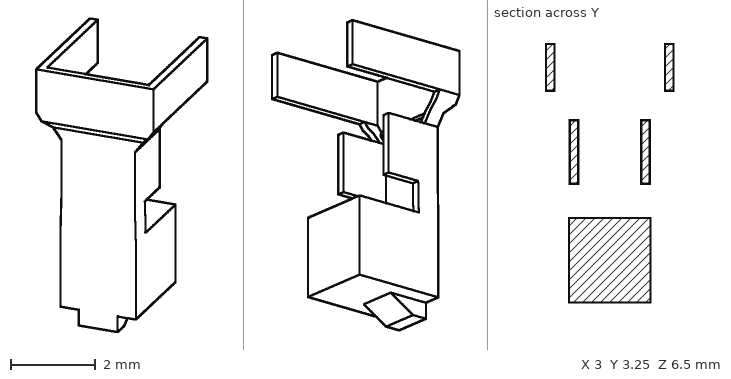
import cadquery as cq

sheet = 0.2
height = 6.5
depth = 3.25
head_width = 3.0
plate_front = sheet
plate_back = plate_front + sheet

arm_bottom = 5.39
jog_top = 5.19
jog_bottom = jog_top - sheet
flare_bottom = 4.7
wing_bottom = 3.2
box_top = 2.4
box_bottom = 0.4

jog_top_width = 2.73
jog_bottom_width = 2.315
neck_width = 1.885
box_width = 1.93
tail_width = 1.0
flare_back = 0.6
wing_back = 1.695
link_back = 0.8
box_back = 2.6
tail_base_back = 1.275
tail_tip_back = flare_back


def block(width, front, back, bottom, top):
    """Box centred on X between two Y planes and two Z planes."""
    size = (width, back - front, top - bottom)
    return cq.Workplane("XY").box(*size, centered=(True, False, False)).translate((0, front, bottom))


def symmetric_slab(side, front, back):
    """Extrude along Y the outline whose +X side is a list of (x, z) points."""
    mirrored = [(-x, z) for x, z in reversed(side)]
    slab = cq.Workplane("XZ").polyline(side + mirrored).close().extrude(front - back)
    return slab.translate((0, front, 0))


def side_profile(points, width):
    """Extrude a (y, z) outline across the given width, centred on X."""
    return cq.Workplane("YZ").polyline(points).close().extrude(width / 2, both=True)


head = block(head_width, 0, depth, arm_bottom, height).cut(
    block(head_width - 2 * sheet, sheet, depth, arm_bottom, height)
)

flare_side = [
    (head_width / 2, arm_bottom),
    (jog_top_width / 2, jog_top),
    (jog_bottom_width / 2, jog_bottom),
    (neck_width / 2, flare_bottom),
]
flare_inner_side = [(x - sheet, z) for x, z in flare_side]

jogged_sheet = side_profile(
    [
        (0, arm_bottom),
        (0, jog_top),
        (plate_front, jog_bottom),
        (plate_front, flare_bottom),
        (plate_back, flare_bottom),
        (plate_back, jog_bottom),
        (sheet, jog_top),
        (sheet, arm_bottom),
    ],
    head_width,
)
flare_envelope = symmetric_slab(flare_side, 0, flare_back)
flare_cavity = symmetric_slab(flare_inner_side, 0, flare_back)
flange_envelope = side_profile(
    [
        (0, arm_bottom),
        (0, jog_top),
        (plate_front, jog_bottom),
        (plate_front, flare_bottom),
        (flare_back, flare_bottom),
        (flare_back, arm_bottom),
    ],
    head_width,
)
flare_flanges = flare_envelope.intersect(flange_envelope).cut(flare_cavity)
flare = jogged_sheet.intersect(flare_envelope).union(flare_flanges)

wings = block(neck_width, plate_front, wing_back, wing_bottom, flare_bottom).cut(
    block(neck_width - 2 * sheet, plate_back, wing_back, wing_bottom, flare_bottom)
)

link_side = [
    (neck_width / 2, wing_bottom),
    (box_width / 2, box_top),
]
link_inner_side = [(x - sheet, z) for x, z in link_side]
link = symmetric_slab(link_side, plate_front, link_back).cut(
    symmetric_slab(link_inner_side, plate_back, link_back)
)

box = block(box_width, plate_front, box_back, box_bottom, box_top)
tail = side_profile(
    [
        (plate_front, 0),
        (tail_tip_back, 0),
        (tail_base_back, box_bottom),
        (plate_front, box_bottom),
    ],
    tail_width,
)

result = head.union(flare).union(wings).union(link).union(box).union(tail)